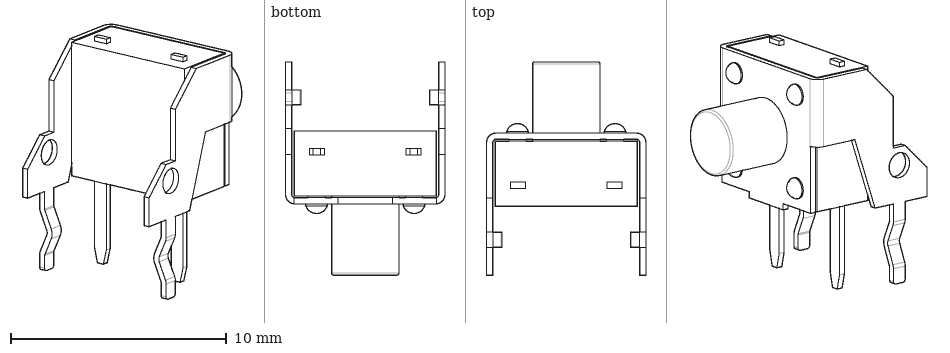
import cadquery as cq
import math


overall_width = 7.4
overall_depth = 9.9
overall_height = 11.0

body_width = 6.6
body_height = 6.5
body_depth = 3.02
body_gap = 0.08

sheet = 0.3
bend_inner_radius = 0.15
bend_outer_radius = bend_inner_radius + sheet
body_front = -(sheet + body_gap)
body_middle_z = body_height / 2

button_diameter = 3.14
button_length = 3.3
button_edge_radius = 0.1

bracket_depth = overall_depth - button_length
flange_depth = 4.6
flange_top_chamfer = 1.58
flange_bottom = -0.3
leg_width = 0.7
ear_step = flange_depth + leg_width
ear_top = 2.41
ear_chamfer = bracket_depth - ear_step
relief_top = 3.23
relief_depth_top = 2.31
relief_depth_bottom = 3.51
leg_y = -(flange_depth + leg_width / 2)
ear_hole_diameter = 1.2
ear_hole_z = 1.52
back_tab_width = 2.54

leg_bottom = -4.19
leg_tip_radius = 0.15
kink_middle_z = -2.29
kink_half_height = 1.03
kink_offset = 0.46
kink_middle_radius = 0.3

rivet_spacing = 4.52
rivet_post_diameter = 0.8
rivet_head_diameter = 1.0
rivet_rim_height = 0.08
rivet_head_height = 0.44

pin_spacing = 4.49
pin_width = 0.7
pin_thickness = 0.3
pin_y = -2.43
pin_stub = 0.22
pin_tip_width = 0.35
pin_tip_height = 0.74

SIDES = (-1, 1)


def box(width, y_rear, y_front, z_low, z_high):
    """Block centred on X = 0."""
    return (
        cq.Workplane("XY", origin=(0, (y_rear + y_front) / 2, z_low))
        .rect(width, y_front - y_rear)
        .extrude(z_high - z_low)
    )


def make_body():
    return box(body_width, body_front - body_depth, body_front, 0, body_height)


def make_bracket():
    """U-shaped sheet trimmed to the flange outline, plus the free lower back plate."""
    outer = box(overall_width, -bracket_depth, 0, flange_bottom, body_height)
    outer = outer.edges("|Z and >Y").fillet(bend_outer_radius)
    inner = box(overall_width - 2 * sheet, -bracket_depth, -sheet, flange_bottom, body_height)
    inner = inner.edges("|Z and >Y").fillet(bend_inner_radius)
    outline = [
        (0, body_height),
        (-(flange_depth - flange_top_chamfer), body_height),
        (-flange_depth, body_height - flange_top_chamfer),
        (-flange_depth, ear_top),
        (-ear_step, ear_top),
        (-bracket_depth, ear_top - ear_chamfer),
        (-bracket_depth, flange_bottom),
        (-relief_depth_bottom, flange_bottom),
        (-relief_depth_top, relief_top),
        (0, relief_top),
    ]
    side_profile = (
        cq.Workplane("YZ").polyline(outline).close().extrude(overall_width / 2, both=True)
    )
    ear_holes = (
        cq.Workplane("YZ", origin=(0, leg_y, ear_hole_z))
        .circle(ear_hole_diameter / 2)
        .extrude(overall_width / 2, both=True)
    )
    lower_plate = box(body_width, -sheet, 0, 0, relief_top)
    back_tab = box(back_tab_width, -sheet, 0, flange_bottom, 0)
    bent_sheet = outer.cut(inner).intersect(side_profile).cut(ear_holes)
    return bent_sheet.union(lower_plate).union(back_tab)


def make_leg():
    """Left leg: a strip of constant thickness with three rounded bends."""
    outer_x = -overall_width / 2
    bend_angle = math.atan2(kink_offset, kink_half_height)
    mitre = sheet * math.tan(bend_angle / 2)
    kink_top = kink_middle_z + kink_half_height
    kink_bottom = kink_middle_z - kink_half_height
    outer_kinks = [
        (outer_x, kink_top),
        (outer_x + kink_offset, kink_middle_z),
        (outer_x, kink_bottom),
    ]
    inner_kinks = [
        (outer_x + sheet, kink_top + mitre),
        (outer_x + kink_offset + sheet / math.cos(bend_angle), kink_middle_z),
        (outer_x + sheet, kink_bottom - mitre),
    ]
    outline = [
        (outer_x, flange_bottom),
        *outer_kinks,
        (outer_x, leg_bottom),
        (outer_x + sheet, leg_bottom),
        *reversed(inner_kinks),
        (outer_x + sheet, flange_bottom),
    ]
    leg = (
        cq.Workplane("XZ", origin=(0, leg_y, 0))
        .polyline(outline)
        .close()
        .extrude(leg_width / 2, both=True)
    )
    outer_radii = (bend_outer_radius, kink_middle_radius, bend_outer_radius)
    inner_radii = (bend_inner_radius, kink_middle_radius + sheet, bend_inner_radius)
    for (x, z), radius in zip(outer_kinks + inner_kinks, outer_radii + inner_radii):
        leg = leg.edges(cq.NearestToPointSelector((x, leg_y, z))).fillet(radius)
    return leg.edges("|X and <Z").fillet(leg_tip_radius)


def make_button():
    return (
        cq.Workplane("XZ", origin=(0, button_length, body_middle_z))
        .circle(button_diameter / 2)
        .extrude(button_length - body_front)
        .faces(">Y")
        .edges()
        .fillet(button_edge_radius)
    )


def make_rivet(x, z):
    """Post from the body through the back plate, closed by a domed head."""
    head_radius = rivet_head_diameter / 2
    post_radius = rivet_post_diameter / 2
    dome_height = rivet_head_height - rivet_rim_height
    dome_radius = (head_radius**2 + dome_height**2) / (2 * dome_height)
    half_angle = math.asin(head_radius / dome_radius) / 2
    dome_centre_y = rivet_head_height - dome_radius
    dome_mid = (
        dome_radius * math.sin(half_angle),
        dome_centre_y + dome_radius * math.cos(half_angle),
    )
    return (
        cq.Workplane("XY")
        .moveTo(0, body_front)
        .lineTo(post_radius, body_front)
        .lineTo(post_radius, 0)
        .lineTo(head_radius, 0)
        .lineTo(head_radius, rivet_rim_height)
        .threePointArc(dome_mid, (0, rivet_head_height))
        .close()
        .revolve(360, (0, 0), (0, 1))
        .translate((x, 0, z))
    )


def make_pin(x):
    """Flat terminal running through the body, tapered at its lower end."""
    pin_top = body_height + pin_stub
    pin_bottom = pin_top - overall_height
    taper_start = pin_bottom + pin_tip_height
    outline = [
        (-pin_width / 2, pin_top),
        (-pin_width / 2, taper_start),
        (-pin_tip_width / 2, pin_bottom),
        (pin_tip_width / 2, pin_bottom),
        (pin_width / 2, taper_start),
        (pin_width / 2, pin_top),
    ]
    return (
        cq.Workplane("XZ", origin=(x, pin_y, 0))
        .polyline(outline)
        .close()
        .extrude(pin_thickness / 2, both=True)
    )


left_leg = make_leg()
result = make_body().union(make_bracket()).union(make_button())
result = result.union(left_leg).union(left_leg.mirror("YZ"))
for side in SIDES:
    result = result.union(make_pin(side * pin_spacing / 2))
    for level in SIDES:
        rivet_x = side * rivet_spacing / 2
        rivet_z = body_middle_z + level * rivet_spacing / 2
        result = result.union(make_rivet(rivet_x, rivet_z))